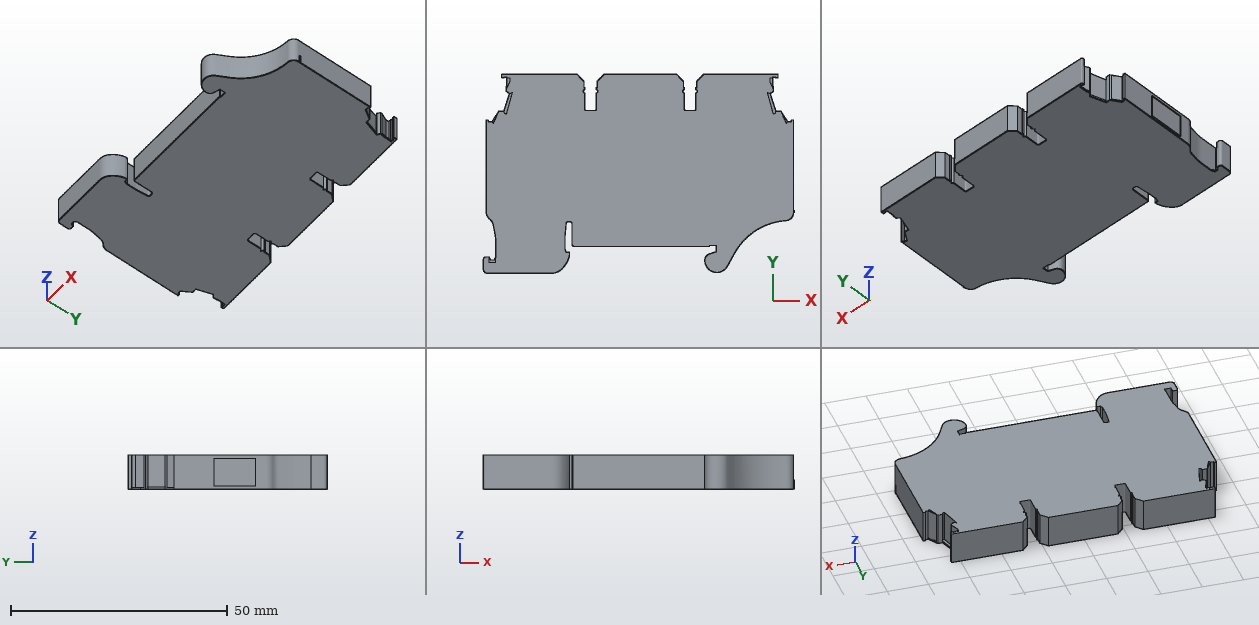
import cadquery as cq
LENGTH = 71.85
WIDTH = 46.05
THICKNESS = 8.0
LEFT = -LENGTH / 2
TOP = WIDTH / 2
BOTTOM = -WIDTH / 2
FLOOR_Z = -THICKNESS / 2
BOTTOM_CHAMFER = 0.15

NUB_HEIGHT = 0.15
BODY_RIGHT = LENGTH / 2 - NUB_HEIGHT
FINGER_OVERHANG = 0.65
BODY_LEFT = LEFT + FINGER_OVERHANG
BODY_CENTRE = (BODY_LEFT + BODY_RIGHT) / 2
BODY_HALF = (BODY_RIGHT - BODY_LEFT) / 2
BODY_BOTTOM = -16.8
SIDE_END = -8.85

LIP_HALF = 32.0
LIP_UNDERSIDE = 22.1
LIP_ROUND = 0.3
SHOULDER_WALL = 30.75
SHOULDER_TOP = 12.4
LEDGE_THICKNESS = 0.4
THICK_LEDGE = 0.6
LOW_FOOT = (34.2, 12.0)
STEEP_FOOT = (31.5, 14.45)
STEEP_TOP = (30.2, 18.5)

FIRST_SLOT_X = -11.15
SLOT_PITCH = 23.0
SLOT_COUNT = 2
SLOT_HALF = 1.3
SLOT_UPPER_HALF = 1.5
SLOT_MOUTH_HALF = 3.1
SLOT_GROOVE_HALF = 1.7
SLOT_FLOOR = 14.65
SLOT_FLOOR_ROUND = 0.3
MOUTH_DEPTH = 1.65
SLOT_STEP_Y = 19.9
GROOVE_Y = 19.05
GROOVE_RISE = 0.4

FOOT_ROUND = 0.9
FINGER_TOP = -19.2
FINGER_ROUND = 0.6
NOTCH_LEFT = -34.55
NOTCH_RIGHT = -33.05
NOTCH_FLOOR = -20.5
NOTCH_LEDGE_Y = -19.9
NOTCH_SLOPE = 0.35
WAIST_X = -33.8
WAIST_Y = -11.2
WAIST_ROUND = 2.0
WAIST_BEND_Y = -14.95
WAIST_BEND_ROUND = 9.35
WALL_FOOT_Y = -9.7
WALL_FOOT_ROUND = 2.1
SLIT_LEFT = -16.75
SLIT_RIGHT = -15.45
SLIT_TOP = -11.15
SLIT_ROUND = 0.4
SLIT_BELLY = -17.0
SLIT_BELLY_TOP = -14.7
SLIT_BELLY_BOTTOM = -17.3
TOE_TOP = -18.1
TOE_TIP = -15.95
TOE_HEIGHT = 0.7
HEEL_UPPER_MIDDLE = (-16.7, -20.7)
HEEL_JOINT = (-17.7, -22.0)
HEEL_LOWER_MIDDLE = (-18.7, -22.7)
SOLE_END = -20.05
BODY_CORNER = 0.3

CLAW_X = 18.0
CLAW_RADIUS = 2.8
CLAW_Y = -22.85 + CLAW_RADIUS
CLAW_SHANK_LOW = (20.55, -21.35)
CLAW_SHANK_HIGH = (22.2, -18.3)
CLAW_BARB = (16.4, -18.5)
CLAW_BARB_MIDDLE = (15.6, -19.0)
CLAW_THROAT = -17.95
CLAW_RELIEF_TOP = -16.6
CLAW_RELIEF_LEFT = 16.4
CLAW_RELIEF_RIGHT = 17.9
SWEEP_MIDDLE = (27.3, -13.0)
SWEEP_END = (34.1, -10.85)
RIGHT_CORNER_MIDDLE = (35.35, -10.2)

RECESS_TOP = 3.15
RECESS_BOTTOM = -6.4
RECESS_HEIGHT = 6.3
RECESS_DEPTH = 0.2
NUB_Y = -8.7
NUB_WIDTH = 0.4
NUB_TALL = 2.2
NUB_ROOT = 0.7


def mirrored(side, points):
    """Place points given as (distance from body centre line, y) on one side."""
    return [(BODY_CENTRE + side * distance, y) for distance, y in points]


def shoulder_points(side):
    """Corner steps from the side wall up to the lip on the top edge."""
    return mirrored(side, [
        (BODY_HALF, SHOULDER_TOP),
        (BODY_HALF - 0.5, SHOULDER_TOP),
        (BODY_HALF - 0.65, 12.1),
        LOW_FOOT,
        (32.6, 14.45),
        STEEP_FOOT,
        STEEP_TOP,
        (30.9, 19.05),
        (30.9, 20.1),
        (SHOULDER_WALL, 20.1),
        (SHOULDER_WALL, LIP_UNDERSIDE + 0.15),
        (LIP_HALF - 0.65, LIP_UNDERSIDE + 0.15),
        (LIP_HALF - 0.65, LIP_UNDERSIDE),
        (LIP_HALF, LIP_UNDERSIDE),
        (LIP_HALF, TOP),
    ])


def build_outline():
    """Closed outline of the housing, walked from the left wall clockwise."""
    left_shoulder = shoulder_points(-1)
    right_shoulder = shoulder_points(1)
    path = cq.Workplane("XY", origin=(0, 0, FLOOR_Z)).moveTo(BODY_LEFT, WALL_FOOT_Y)
    for x, y in left_shoulder + right_shoulder[::-1]:
        path = path.lineTo(x, y)

    path = (
        path.lineTo(BODY_RIGHT, SIDE_END)
        .threePointArc(RIGHT_CORNER_MIDDLE, SWEEP_END)
        .threePointArc(SWEEP_MIDDLE, CLAW_SHANK_HIGH)
        .lineTo(*CLAW_SHANK_LOW)
        .threePointArc((CLAW_X, CLAW_Y - CLAW_RADIUS), (CLAW_X - CLAW_RADIUS, CLAW_Y))
        .threePointArc(CLAW_BARB_MIDDLE, CLAW_BARB)
        .lineTo(CLAW_RELIEF_RIGHT, CLAW_THROAT)
        .lineTo(CLAW_RELIEF_RIGHT, CLAW_RELIEF_TOP)
        .lineTo(CLAW_RELIEF_LEFT, CLAW_RELIEF_TOP)
        .lineTo(CLAW_RELIEF_LEFT, BODY_BOTTOM)
    )

    path = (
        path.lineTo(SLIT_RIGHT + BODY_CORNER, BODY_BOTTOM)
        .lineTo(SLIT_RIGHT, BODY_BOTTOM + BODY_CORNER)
        .lineTo(SLIT_RIGHT, SLIT_TOP - SLIT_ROUND)
        .radiusArc((SLIT_RIGHT - SLIT_ROUND, SLIT_TOP), -SLIT_ROUND)
        .lineTo(SLIT_LEFT + SLIT_ROUND, SLIT_TOP)
        .radiusArc((SLIT_LEFT, SLIT_TOP - SLIT_ROUND), -SLIT_ROUND)
        .lineTo(SLIT_BELLY, SLIT_BELLY_TOP)
        .lineTo(SLIT_BELLY, SLIT_BELLY_BOTTOM)
        .lineTo(SLIT_LEFT, TOE_TOP)
    )

    path = (
        path.lineTo(TOE_TIP, TOE_TOP)
        .lineTo(TOE_TIP, TOE_TOP - TOE_HEIGHT)
        .threePointArc(HEEL_UPPER_MIDDLE, HEEL_JOINT)
        .threePointArc(HEEL_LOWER_MIDDLE, (SOLE_END, BOTTOM))
        .lineTo(LEFT + FOOT_ROUND, BOTTOM)
        .radiusArc((LEFT, BOTTOM + FOOT_ROUND), FOOT_ROUND)
    )

    return (
        path.lineTo(LEFT, FINGER_TOP - FINGER_ROUND)
        .radiusArc((LEFT + FINGER_ROUND, FINGER_TOP), FINGER_ROUND)
        .lineTo(NOTCH_LEFT, FINGER_TOP)
        .lineTo(NOTCH_LEFT + NOTCH_SLOPE, NOTCH_LEDGE_Y)
        .lineTo(NOTCH_RIGHT - NOTCH_SLOPE, NOTCH_LEDGE_Y)
        .lineTo(NOTCH_RIGHT, FINGER_TOP)
        .lineTo(NOTCH_RIGHT, WAIST_BEND_Y)
        .lineTo(WAIST_X, WAIST_Y)
        .lineTo(BODY_LEFT, WALL_FOOT_Y)
        .close()
    )


def entry_slot(centre_x):
    """Flared slot with a small vee groove in both walls."""
    half_profile = [
        (SLOT_HALF, SLOT_FLOOR),
        (SLOT_HALF, GROOVE_Y - GROOVE_RISE),
        (SLOT_GROOVE_HALF, GROOVE_Y),
        (SLOT_HALF, GROOVE_Y + GROOVE_RISE),
        (SLOT_HALF, SLOT_STEP_Y),
        (SLOT_UPPER_HALF, SLOT_STEP_Y),
        (SLOT_UPPER_HALF, TOP - MOUTH_DEPTH),
        (SLOT_MOUTH_HALF, TOP),
    ]
    right_wall = [(centre_x + x, y) for x, y in half_profile]
    left_wall = [(centre_x - x, y) for x, y in reversed(half_profile)]
    slot = (
        cq.Workplane("XY", origin=(0, 0, FLOOR_Z))
        .polyline(right_wall + left_wall)
        .close()
        .extrude(THICKNESS)
    )
    return slot.edges("|Z and <Y").fillet(SLOT_FLOOR_ROUND)


def ledge_pocket(points, ledge=LEDGE_THICKNESS):
    """Pocket open at the upper face that leaves a thin ledge at the bottom."""
    return (
        cq.Workplane("XY", origin=(0, 0, FLOOR_Z + ledge))
        .polyline(points)
        .close()
        .extrude(THICKNESS - ledge)
    )


def shoulder_pockets(side):
    """Three undercuts along the steps of one shoulder."""
    beside_lip = [
        (SHOULDER_WALL + 0.15, LIP_UNDERSIDE),
        (30.0, LIP_UNDERSIDE),
        (30.0, 21.3),
        (30.9, 19.4),
        (31.1, 19.4),
        (31.1, 20.5),
    ]
    steep_channel = [STEEP_TOP, (29.45, 18.75), (30.8, 13.8), (31.25, 13.95), STEEP_FOOT]
    low_channel = [(32.8, 14.1), (33.1, 13.15), (33.85, 11.65), LOW_FOOT]
    return [
        ledge_pocket(mirrored(side, beside_lip)),
        ledge_pocket(mirrored(side, steep_channel), THICK_LEDGE),
        ledge_pocket(mirrored(side, low_channel)),
    ]


def notch_pocket():
    """Deeper part of the notch behind the finger, above its ledge."""
    return ledge_pocket([
        (NOTCH_LEFT, NOTCH_FLOOR),
        (NOTCH_RIGHT, NOTCH_FLOOR),
        (NOTCH_RIGHT, FINGER_TOP),
        (NOTCH_LEFT, FINGER_TOP),
    ])


def marking_recess():
    """Shallow rectangular recess in the left wall."""
    return cq.Workplane("XY").box(
        RECESS_DEPTH, RECESS_TOP - RECESS_BOTTOM, RECESS_HEIGHT, centered=(False, False, True)
    ).translate((BODY_LEFT, RECESS_BOTTOM, 0))


def side_nub():
    """Low nub on the right wall, rising from the chamfered bottom edge."""
    return cq.Workplane("XY").box(
        NUB_ROOT + NUB_HEIGHT, NUB_WIDTH, NUB_TALL - BOTTOM_CHAMFER, centered=(False, True, False)
    ).translate((BODY_RIGHT - NUB_ROOT, NUB_Y, FLOOR_Z + BOTTOM_CHAMFER))


housing = build_outline().extrude(THICKNESS)
for slot_index in range(SLOT_COUNT):
    housing = housing.cut(entry_slot(FIRST_SLOT_X + slot_index * SLOT_PITCH))

lip_end = BODY_CENTRE - LIP_HALF
for x, y, radius in [
    (lip_end, TOP, LIP_ROUND),
    (lip_end, LIP_UNDERSIDE, LIP_ROUND),
    (BODY_LEFT, WALL_FOOT_Y, WALL_FOOT_ROUND),
    (WAIST_X, WAIST_Y, WAIST_ROUND),
    (NOTCH_RIGHT, WAIST_BEND_Y, WAIST_BEND_ROUND),
]:
    housing = housing.edges(cq.NearestToPointSelector((x, y, 0))).fillet(radius)
housing = housing.faces("<Z").edges().chamfer(BOTTOM_CHAMFER)

for pocket in shoulder_pockets(-1) + shoulder_pockets(1) + [notch_pocket(), marking_recess()]:
    housing = housing.cut(pocket)

result = housing.union(side_nub())